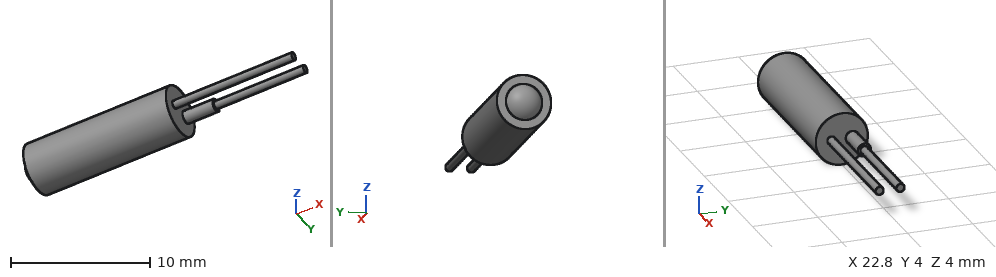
import cadquery as cq

total_length = 22.8
body_diameter = 4.0
body_length = 12.0

dome_height = 0.8
dome_sphere_radius = 1.5

lead_diameter = 0.62
lead_offset = 0.8
lead_length = total_length - dome_height - body_length
sleeve_diameter = 1.0
sleeve_length = 2.5


def rod(diameter, start_x, length, y=0.0):
    """Round rod along +X, starting at start_x."""
    return cq.Workplane("YZ", origin=(start_x, y, 0)).circle(diameter / 2).extrude(length)


result = rod(body_diameter, 0, body_length)

sphere_center_x = dome_sphere_radius - dome_height
lens = cq.Workplane("XY").sphere(dome_sphere_radius).translate((sphere_center_x, 0, 0))
result = result.union(lens)

for lead_y in (-lead_offset, lead_offset):
    result = result.union(rod(lead_diameter, body_length, lead_length, lead_y))

result = result.union(rod(sleeve_diameter, body_length, sleeve_length, lead_offset))